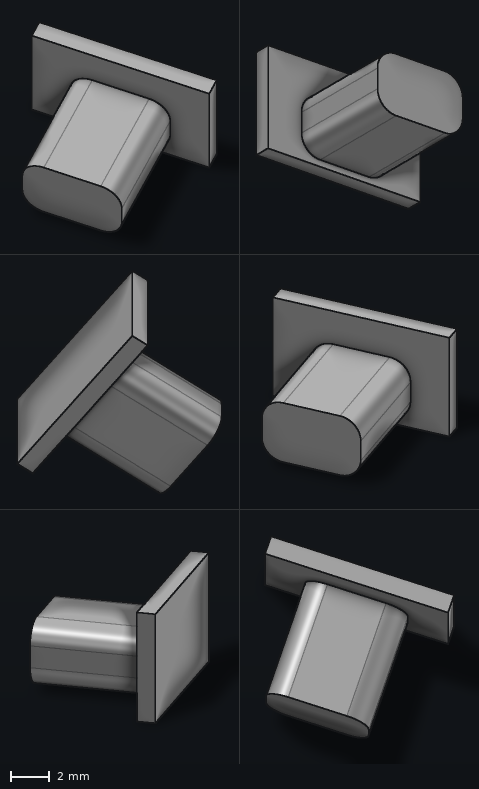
import cadquery as cq

plate_width = 10.0
plate_height = 6.0
plate_thickness = 1.0

stem_width = 5.6
stem_height = 3.6
stem_length = 6.4
stem_corner_radius = 1.2
stem_bottom_margin = 0.4

stem_center_z = -plate_height / 2 + stem_bottom_margin + stem_height / 2


def make_plate():
    """Plate with its front face on Y = 0, centred on X and Z."""
    return cq.Workplane("XY").box(
        plate_width, plate_thickness, plate_height, centered=(True, False, True)
    )


def make_stem():
    """Stem running from Y = 0 toward -Y, with its four long edges rounded."""
    return (
        cq.Workplane("XZ")
        .center(0, stem_center_z)
        .rect(stem_width, stem_height)
        .extrude(stem_length)
        .edges("|Y")
        .fillet(stem_corner_radius)
    )


result = make_plate().union(make_stem())